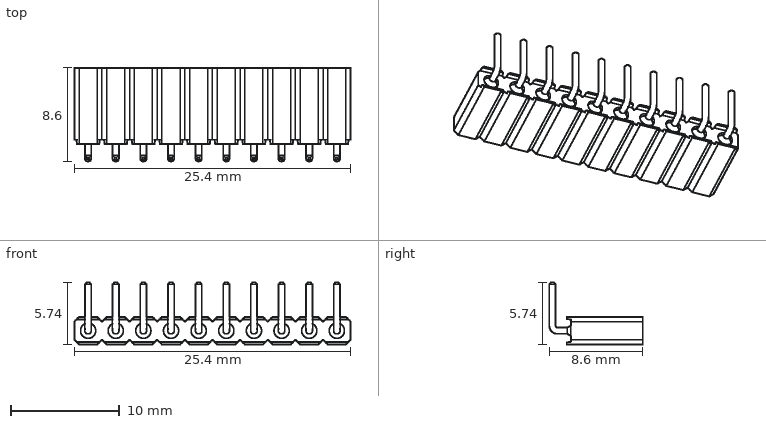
import cadquery as cq

contact_count = 10
pitch = 2.54
housing_height = 2.54
housing_depth = 7.0
cell_chamfer = 0.44

lip_depth = 0.4
lip_tip_thickness = 0.2
lip_root_thickness = 0.26

socket_radius = 0.7
cone_length = 0.72
cone_protrusion = 0.34

pin_radius = 0.3
pin_reach = 1.6
pin_rise = 3.2
bend_inner_radius = 0.16
pin_tip_height = 0.22
pin_tip_inset = 0.19

row_length = contact_count * pitch
half_height = housing_height / 2
recess_mouth_half_height = half_height - lip_tip_thickness
recess_floor_half_height = half_height - lip_root_thickness
recess_floor_y = lip_depth
cone_tip_y = recess_floor_y - cone_protrusion
cone_base_y = cone_tip_y + cone_length
bend_radius = bend_inner_radius + pin_radius
pin_upright_y = pin_radius - pin_reach
pin_tip_z = half_height + pin_rise


def contact_positions():
    """X position of every contact, centred on the row."""
    first_x = (pitch - row_length) / 2
    return [first_x + index * pitch for index in range(contact_count)]


def make_cell(x):
    """One housing cell with its four long edges chamfered."""
    cell = cq.Workplane("XY").box(pitch, housing_depth, housing_height)
    cell = cell.edges("|Y").chamfer(cell_chamfer)
    return cell.translate((x, housing_depth / 2, 0))


def make_recess():
    """Slot along the whole front face, tapered so that the lips thicken toward their roots."""
    return (
        cq.Workplane("YZ", origin=(-row_length / 2, 0, 0))
        .moveTo(0, -recess_mouth_half_height)
        .lineTo(recess_floor_y, -recess_floor_half_height)
        .lineTo(recess_floor_y, recess_floor_half_height)
        .lineTo(0, recess_mouth_half_height)
        .close()
        .extrude(row_length)
    )


def make_socket(x):
    """Round socket in the recess floor, down to the base of the contact cone."""
    profile = cq.Workplane(cq.Plane((x, recess_floor_y, 0), (1, 0, 0), (0, 1, 0)))
    return profile.circle(socket_radius).extrude(cone_base_y - recess_floor_y)


def make_cone(x):
    """Contact cone that fills the socket at its base and narrows to the pin."""
    return (
        cq.Workplane("XY")
        .moveTo(0, cone_base_y)
        .lineTo(socket_radius, cone_base_y)
        .lineTo(pin_radius, cone_tip_y)
        .lineTo(0, cone_tip_y)
        .close()
        .revolve(360, (0, 0, 0), (0, 1, 0))
        .translate((x, 0, 0))
    )


def make_pin(x):
    """Round pin that leaves the cone toward -Y, bends and rises to a tapered tip."""
    path = (
        cq.Workplane("YZ")
        .moveTo(cone_base_y, 0)
        .lineTo(pin_upright_y + bend_radius, 0)
        .radiusArc((pin_upright_y, bend_radius), bend_radius)
        .lineTo(pin_upright_y, pin_tip_z)
    )
    start = cq.Plane((0, cone_base_y, 0), (1, 0, 0), (0, -1, 0))
    pin = cq.Workplane(start).circle(pin_radius).sweep(path)
    pin = pin.faces(">Z").chamfer(pin_tip_height, pin_tip_inset)
    return pin.translate((x, 0, 0))


housing = make_cell(contact_positions()[0])
for contact_x in contact_positions()[1:]:
    housing = housing.union(make_cell(contact_x))
housing = housing.cut(make_recess())

result = housing
for contact_x in contact_positions():
    result = result.cut(make_socket(contact_x))
    result = result.union(make_cone(contact_x)).union(make_pin(contact_x))